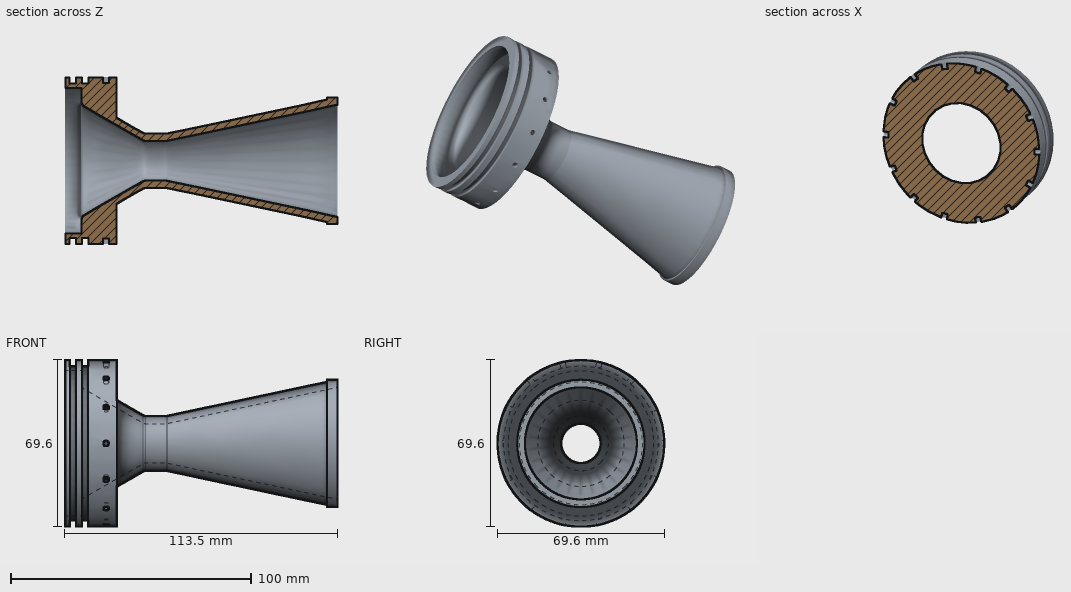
import cadquery as cq
import math

total_length = 113.5
flange_diameter = 69.6
flange_radius = flange_diameter / 2
flange_length = 21.6

groove_radius = 32.2
groove_width = 2.5
groove_pitch = 5.1
first_groove_start = 1.9
groove_count = 2

recess_radius = 30.3
recess_depth = 6.7
lip_opening_diameter = 49.4
lip_opening_radius = lip_opening_diameter / 2
lip_round_radius = 2.4

throat_bore_radius = 8.2
throat_outer_radius = 11.5
throat_start = 33.5
throat_end = 42.1
throat_round_radius = 2.3
converging_angle = math.radians(30)
diverging_angle = math.radians(12)

rim_radius = 26.5
rim_length = 4.4

hole_count = 14
hole_diameter = 2.3
hole_depth = 2.3
hole_x = 17.0


def throat_round(x, radius, turn):
    """Point on the round that leaves a throat of the given radius at x, after turning by an angle.

    A positive turn leads toward the exit and a negative turn leads toward the inlet.
    """
    return (
        x + throat_round_radius * math.sin(turn),
        radius + throat_round_radius * (1 - math.cos(turn)),
    )


def lip_round(turn):
    """Point on the inlet lip round, after turning inward from the recess floor by an angle."""
    return (
        recess_depth + lip_round_radius * (1 - math.cos(turn)),
        lip_opening_radius - lip_round_radius * math.sin(turn),
    )


def revolve_about_x(outline):
    """Close an (x, radius) outline and turn it fully around the X axis."""
    return outline.close().revolve(360, (0, 0, 0), (1, 0, 0))


def make_outside():
    """Solid envelope: flange, converging neck, throat, diverging cone and rim."""
    neck_end, neck_end_radius = throat_round(throat_start, throat_outer_radius, -converging_angle)
    neck_root_radius = neck_end_radius + (neck_end - flange_length) * math.tan(converging_angle)
    cone_start, cone_start_radius = throat_round(throat_end, throat_outer_radius, diverging_angle)
    rim_start = total_length - rim_length
    cone_end_radius = cone_start_radius + (rim_start - cone_start) * math.tan(diverging_angle)
    return revolve_about_x(
        cq.Workplane("XZ")
        .moveTo(0, 0)
        .lineTo(0, flange_radius)
        .lineTo(flange_length, flange_radius)
        .lineTo(flange_length, neck_root_radius)
        .lineTo(neck_end, neck_end_radius)
        .threePointArc(
            throat_round(throat_start, throat_outer_radius, -converging_angle / 2),
            (throat_start, throat_outer_radius),
        )
        .lineTo(throat_end, throat_outer_radius)
        .threePointArc(
            throat_round(throat_end, throat_outer_radius, diverging_angle / 2),
            (cone_start, cone_start_radius),
        )
        .lineTo(rim_start, cone_end_radius)
        .lineTo(rim_start, rim_radius)
        .lineTo(total_length, rim_radius)
        .lineTo(total_length, 0)
    )


def make_bore():
    """Flow passage: recess, rounded lip, converging cone, throat and diverging exit."""
    lip_turn = math.pi / 2 - converging_angle
    cone_start, cone_start_radius = lip_round(lip_turn)
    round_length = throat_round_radius * math.sin(converging_angle)
    cone_end_radius = throat_round(0, throat_bore_radius, -converging_angle)[1]
    cone_end = cone_start + (cone_start_radius - cone_end_radius) / math.tan(converging_angle)
    bore_start = cone_end + round_length
    exit_radius = throat_bore_radius + (total_length - throat_end) * math.tan(diverging_angle)
    return revolve_about_x(
        cq.Workplane("XZ")
        .moveTo(0, 0)
        .lineTo(0, recess_radius)
        .lineTo(recess_depth, recess_radius)
        .lineTo(recess_depth, lip_opening_radius)
        .threePointArc(lip_round(lip_turn / 2), (cone_start, cone_start_radius))
        .lineTo(cone_end, cone_end_radius)
        .threePointArc(
            throat_round(bore_start, throat_bore_radius, -converging_angle / 2),
            (bore_start, throat_bore_radius),
        )
        .lineTo(throat_end, throat_bore_radius)
        .lineTo(total_length, exit_radius)
        .lineTo(total_length, 0)
    )


def make_groove(start):
    """Ring removed from the flange for one seal groove."""
    return (
        cq.Workplane("YZ", origin=(start, 0, 0))
        .circle(flange_radius + groove_width)
        .circle(groove_radius)
        .extrude(groove_width)
    )


def make_radial_hole(angle):
    """Blind hole drilled inward from the flange rim, turned about X from the -Y side."""
    hole_floor = flange_radius - hole_depth
    return (
        cq.Workplane("XZ", origin=(hole_x, -hole_floor, 0))
        .circle(hole_diameter / 2)
        .extrude(2 * hole_depth)
        .rotate((0, 0, 0), (1, 0, 0), angle)
    )


result = make_outside().cut(make_bore())
for index in range(groove_count):
    result = result.cut(make_groove(first_groove_start + index * groove_pitch))
for index in range(hole_count):
    result = result.cut(make_radial_hole(index * 360 / hole_count))